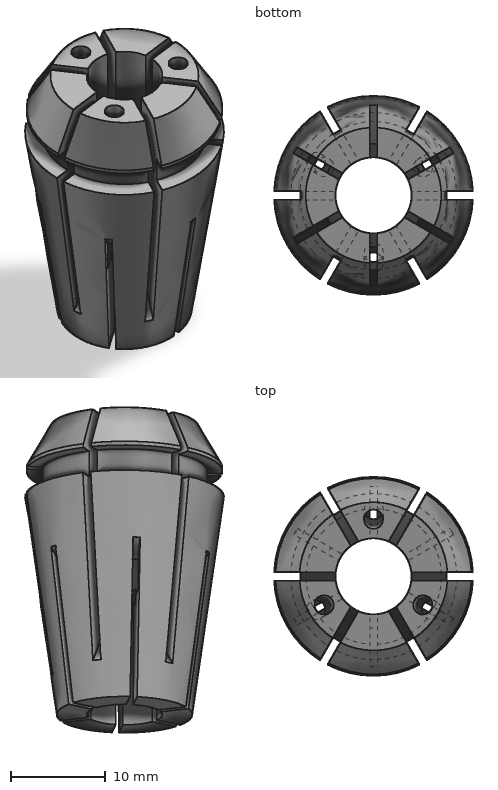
import cadquery as cq
import math

height = 31.5
body_radius = 21.0 / 2
taper_angle = 8.0
shoulder_z = 23.85
bottom_radius = body_radius - shoulder_z * math.tan(math.radians(taper_angle))

neck_radius = 8.75
nose_z = 26.65
nose_rim = 0.4
nose_radius = 10.33
nose_cone_z = nose_z + nose_rim
top_radius = 7.8

bore_radius = 4.0

slot_count = 6
slot_pitch = 360 / slot_count
saw_radius = 23.62
upper_slot_width = 0.9
upper_slot_wall_z = 4.0
upper_slot_inner_z = 9.92
lower_slot_width = 0.75
lower_slot_wall_z = 16.82
lower_slot_inner_z = 10.7
lower_slot_inner_radius = 5.45

hole_count = 3
hole_pitch = 360 / hole_count
hole_circle_radius = 6.02
hole_radius = 1.0
hole_depth = 20.0
hole_lean = 3.0
first_hole_angle = 90.0

clearance = 1.58


def collet_blank():
    """Solid of revolution: taper, groove, nose and bore."""
    profile = [
        (bore_radius, 0),
        (bottom_radius, 0),
        (body_radius, shoulder_z),
        (neck_radius, shoulder_z),
        (neck_radius, nose_z),
        (nose_radius, nose_z),
        (nose_radius, nose_cone_z),
        (top_radius, height),
        (bore_radius, height),
    ]
    return cq.Workplane("XZ").polyline(profile).close().revolve(360, (0, 0), (0, 1))


def slot_cutter(width, wall_z, inner_z, inner_radius, open_z, arc_radius):
    """Radial slab along +X, open at open_z, ending in an arc from inner_radius to the outer wall.

    A positive arc_radius turns the arc clockwise from the inner end, a negative one the other way.
    """
    half_width = width / 2
    wall_radius = bottom_radius + wall_z * math.tan(math.radians(taper_angle))
    wall_x = math.sqrt(wall_radius**2 - half_width**2)
    inner_x = math.sqrt(inner_radius**2 - half_width**2)
    outside_x = body_radius + clearance
    return (
        cq.Workplane("XZ")
        .moveTo(0, open_z)
        .lineTo(0, inner_z)
        .lineTo(inner_x, inner_z)
        .radiusArc((wall_x, wall_z), arc_radius)
        .lineTo(outside_x, wall_z)
        .lineTo(outside_x, open_z)
        .close()
        .extrude(half_width, both=True)
    )


def hole_cutter():
    """Flat-bottomed hole at +X, leaning outwards about its centre on the top face."""
    return (
        cq.Workplane("XY")
        .circle(hole_radius)
        .extrude(hole_depth + clearance)
        .translate((0, 0, -hole_depth))
        .rotate((0, 0, 0), (0, 1, 0), -hole_lean)
        .translate((hole_circle_radius, 0, height))
    )


def turned(cutter, angle):
    return cutter.rotate((0, 0, 0), (0, 0, 1), angle)


upper_slot = slot_cutter(
    upper_slot_width,
    upper_slot_wall_z,
    upper_slot_inner_z,
    bore_radius,
    height + clearance,
    -saw_radius,
)
lower_slot = slot_cutter(
    lower_slot_width,
    lower_slot_wall_z,
    lower_slot_inner_z,
    lower_slot_inner_radius,
    -clearance,
    saw_radius,
)
hole = hole_cutter()

collet = collet_blank()
for index in range(slot_count):
    collet = collet.cut(turned(upper_slot, index * slot_pitch))
    collet = collet.cut(turned(lower_slot, (index + 0.5) * slot_pitch))
for index in range(hole_count):
    collet = collet.cut(turned(hole, first_hole_angle + index * hole_pitch))

result = collet